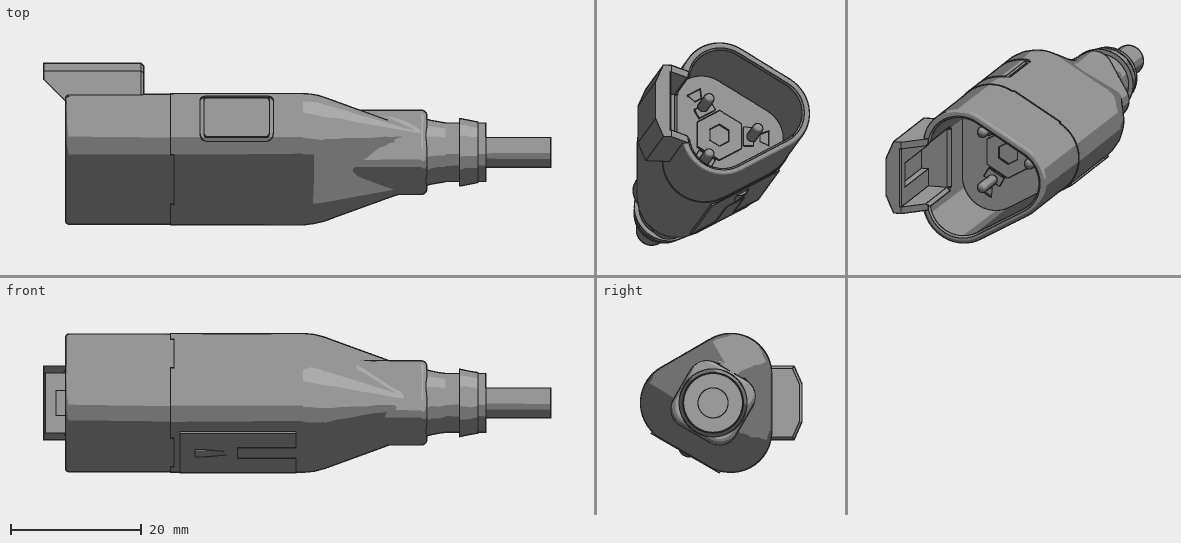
import cadquery as cq
import math


latch_back = 15.3
shell_front = 3.33
grip_start = 19.4
flat_grip_start = 19.9
taper_start = 41.35
taper_end = 57.9
boot_front = 44.0
boot_end = 58.6
flare_start = 57.6
flare_end = 59.2
neck_end = 61.5
barb_start = 63.55
barb_end = 66.4
collar_end = 67.6
cable_end = 77.53

housing_y = 0.2
lobe_distance = 5.05
grip_radius = 6.27
step_height = 0.1
shell_radius = grip_radius - step_height
wall = 1.2
rim_fillet = 0.5
rim_chamfer = 0.3
taper_angle = 20.0
shoulder_radius = 9.3
lobe_angles = (60, 180, 300)
flat_half_width = lobe_distance * math.sin(math.radians(60))
grip_apothem = lobe_distance / 2 + grip_radius
shell_apothem = lobe_distance / 2 + shell_radius
inner_y = housing_y + shell_apothem - wall

floor_x = grip_start
pin_radius = 0.8
pin_length = 6.0
pin_tip_fillet = 0.7
relief = 0.5
hexagon_apothem = 3.4
socket_apothem = 1.5
collar_inner = 3.75
collar_outer = 5.3
collar_half_width = 1.45
mark_inner = 6.4
mark_outer = 7.8
mark_inner_half = 0.6
mark_outer_half = 1.2

latch_top = 13.62
latch_shoulder = 12.4
latch_half_width = 5.65
latch_top_half = 2.9
latch_root = 7.0
latch_chamfer = 0.4
hood_roof = 11.17
hood_half_width = 4.6
hood_end = 13.3
mouth_chamfer = 0.25
hood_sill = 8.2
hood_lead = 0.8
hood_flare_half_width = 5.1
catch_start = 1.9
catch_half_width = 1.9
catch_depth = 1.1

label_start = 23.9
label_end = 35.1
label_half_width = 4.0
label_corner = 1.1
label_depth = 0.3
label_groove_width = 0.6

panel_angle = 240
panel_start = 20.8
panel_end = 38.6
panel_half_width = 6.03
panel_height = 0.1
slot_start = 29.6
slot_half_width = 1.6
arrow_start = 23.15
arrow_shoulder = 24.6
arrow_tip = 29.9
arrow_radius = 1.7
arrow_height = 0.5

boot_apothem = 5.5
boot_corner = 2.87
boot_turn = -30
boot_end_fillet = 0.9
boot_blend_radius = 1.5
flare_radius = 5.35
neck_base_radius = 4.9
neck_radius = 4.5
barb_radius = 5.2
barb_tip_radius = 4.65
cable_radius = 2.3

margin = 1.0
seam_tolerance = 0.001


def lobe_centre(angle):
    """Y, Z of the lobe that lies in the given direction."""
    turn = math.radians(angle)
    return (housing_y + lobe_distance * math.cos(turn), lobe_distance * math.sin(turn))


def triangle_section(x, radius):
    """Rounded-triangle outline in the plane at x."""
    def rim(lobe, direction):
        y, z = lobe_centre(lobe)
        turn = math.radians(direction)
        return (y + radius * math.cos(turn), z + radius * math.sin(turn))

    first = lobe_angles[0]
    outline = cq.Workplane("YZ", origin=(x, 0, 0)).moveTo(*rim(first, first - 60))
    for lobe in lobe_angles:
        outline = outline.threePointArc(rim(lobe, lobe), rim(lobe, lobe + 60))
        outline = outline.lineTo(*rim(lobe + 120, lobe + 60))
    return outline.close()


def turned(body, angle):
    """Turn a body built towards +Y about the housing axis to the given direction."""
    return body.rotate((0, housing_y, 0), (1, housing_y, 0), angle)


def block(x_min, x_max, y_min, y_max, half_width):
    """Box symmetric about Z = 0."""
    return cq.Workplane("XY").box(
        x_max - x_min, y_max - y_min, 2 * half_width, centered=(False, False, True)
    ).translate((x_min, y_min, 0))


def make_housing():
    grip = triangle_section(grip_start, grip_radius).extrude(taper_start - grip_start)
    taper = triangle_section(taper_start, grip_radius).extrude(taper_end - taper_start, taper=taper_angle)
    shoulder = cq.selectors.BoxSelector(
        (taper_start - margin, -latch_top, -latch_top),
        (taper_start + margin, latch_top, latch_top),
        boundingbox=True,
    )
    body = grip.union(taper).edges(shoulder).fillet(shoulder_radius)
    step_bottom = housing_y + shell_apothem
    step_top = housing_y + grip_apothem + margin
    for angle in lobe_angles:
        step = block(grip_start, flat_grip_start, step_bottom, step_top, flat_half_width)
        body = body.cut(turned(step, angle + 60))
    return body


def make_shell():
    shell = triangle_section(shell_front, shell_radius).extrude(grip_start - shell_front)
    return shell.faces("<X").edges().fillet(rim_fillet)


def make_latch():
    side = (
        cq.Workplane("XY", origin=(0, 0, -latch_half_width))
        .moveTo(0, latch_top)
        .lineTo(latch_back, latch_top)
        .lineTo(latch_back, latch_root)
        .lineTo(hood_roof - latch_root, latch_root)
        .lineTo(0, hood_roof)
        .close()
        .extrude(2 * latch_half_width)
    )
    front = (
        cq.Workplane("YZ")
        .polyline([
            (latch_root, -latch_half_width),
            (latch_shoulder, -latch_half_width),
            (latch_top, -latch_top_half),
            (latch_top, latch_top_half),
            (latch_shoulder, latch_half_width),
            (latch_root, latch_half_width),
        ])
        .close()
        .extrude(latch_back)
    )
    return side.intersect(front).faces(">X").edges().chamfer(latch_chamfer)


def make_hood():
    """Hollow of the latch, open to the front and towards the cavity."""
    return (
        cq.Workplane("XY", origin=(0, 0, -hood_half_width))
        .moveTo(-margin, hood_roof)
        .lineTo(hood_end, hood_roof)
        .lineTo(hood_end, hood_sill)
        .lineTo(hood_end + hood_lead, inner_y)
        .lineTo(hood_end + hood_lead, inner_y - margin)
        .lineTo(-margin, inner_y - margin)
        .close()
        .extrude(2 * hood_half_width)
    )


def make_hollow_latch():
    latch = make_latch().cut(make_hood())
    mouth_edge = cq.selectors.NearestToPointSelector((0, hood_roof, 0))
    return latch.edges("|Z").edges(mouth_edge).chamfer(mouth_chamfer)


def cut_cavity(body):
    """Hollow out the shell and the latch."""
    main = triangle_section(0, shell_radius - wall).extrude(floor_x)
    lead_in = triangle_section(shell_front, shell_radius - wall + rim_chamfer).extrude(rim_chamfer, taper=45)
    flare = (
        cq.Workplane("YZ", origin=(-margin, 0, 0))
        .polyline([
            (inner_y - margin, -hood_flare_half_width),
            (inner_y, -hood_flare_half_width),
            (hood_sill, -hood_half_width),
            (hood_sill, hood_half_width),
            (inner_y, hood_flare_half_width),
            (inner_y - margin, hood_flare_half_width),
        ])
        .close()
        .extrude(hood_end + margin)
    )
    catch = block(catch_start, hood_end, hood_roof - margin, hood_roof + catch_depth, catch_half_width)
    for cutter in (main, lead_in, make_hood(), flare, catch):
        body = body.cut(cutter)
    return body


def hexagon(x, apothem, length):
    """Hexagonal prism with a flat facing each lobe and each side of the housing."""
    diameter = 2 * apothem / math.cos(math.radians(30))
    plane = cq.Workplane("YZ", origin=(x, housing_y, 0)).transformed(rotate=(0, 0, 30))
    return plane.polygon(6, diameter).extrude(length)


def make_pin(angle):
    y, z = lobe_centre(angle)
    tip = cq.Workplane("YZ", origin=(floor_x - pin_length, y, z))
    pin = tip.circle(pin_radius).extrude(pin_length + margin)
    return pin.faces("<X").edges().fillet(pin_tip_fillet)


def add_floor_details(body):
    body = body.union(hexagon(floor_x - relief, hexagon_apothem, relief + margin))
    body = body.cut(hexagon(floor_x - relief - margin, socket_apothem, relief + margin))
    collar_bottom = housing_y + collar_inner
    collar_top = housing_y + collar_outer
    for angle in lobe_angles:
        collar = block(floor_x - relief, floor_x + margin, collar_bottom, collar_top, collar_half_width)
        mark = (
            cq.Workplane("YZ", origin=(floor_x - margin, housing_y, 0))
            .polyline([
                (mark_inner, -mark_inner_half),
                (mark_outer, -mark_outer_half),
                (mark_outer, mark_outer_half),
                (mark_inner, mark_inner_half),
            ])
            .close()
            .extrude(margin + relief)
        )
        body = body.union(turned(collar, angle)).union(make_pin(angle)).cut(turned(mark, angle))
    return body


def make_label_groove():
    """Rectangular frame groove whose floor is concentric with the lobe."""
    length = label_end - label_start
    lobe_y = housing_y + lobe_distance

    def window(inset):
        return (
            cq.Workplane("XZ", origin=((label_start + label_end) / 2, lobe_y, 0))
            .rect(length - 2 * inset, 2 * (label_half_width - inset))
            .extrude(-(grip_radius + margin))
            .edges("|Y")
            .fillet(label_corner - inset)
        )

    ring = (
        cq.Workplane("YZ", origin=(label_start, lobe_y, 0))
        .circle(grip_radius + margin)
        .circle(grip_radius - label_depth)
        .extrude(length)
    )
    return turned(ring.intersect(window(0).cut(window(label_groove_width))), lobe_angles[0])


def add_panel(body):
    face = housing_y + grip_apothem
    panel = block(panel_start, panel_end, face - margin, face + panel_height, panel_half_width)
    slot = block(slot_start, panel_end + margin, face, face + panel_height + margin, slot_half_width)
    arrow = (
        cq.Workplane("XY", origin=(0, face + arrow_height - arrow_radius, 0))
        .moveTo(arrow_start, 0)
        .lineTo(arrow_start, arrow_radius)
        .lineTo(arrow_shoulder, arrow_radius)
        .lineTo(arrow_tip, arrow_radius - arrow_height)
        .lineTo(arrow_tip, 0)
        .close()
        .revolve(360, (0, 0, 0), (1, 0, 0))
    )
    return body.union(turned(panel.cut(slot), panel_angle)).union(turned(arrow, panel_angle))


def make_boot():
    boot = (
        cq.Workplane("YZ", origin=(boot_front, 0, 0))
        .rect(2 * boot_apothem, 2 * boot_apothem)
        .extrude(boot_end - boot_front)
        .edges("|X")
        .fillet(boot_corner)
        .faces(">X")
        .edges()
        .fillet(boot_end_fillet)
    )
    return boot.rotate((0, 0, 0), (1, 0, 0), boot_turn)


def make_cable_end():
    return (
        cq.Workplane("XY")
        .moveTo(flare_start, 0)
        .lineTo(flare_start, flare_radius)
        .lineTo(flare_end, neck_base_radius)
        .lineTo(neck_end, neck_radius)
        .lineTo(barb_start, neck_radius)
        .lineTo(barb_start, barb_radius)
        .lineTo(barb_end, barb_tip_radius)
        .lineTo(barb_end, neck_radius)
        .lineTo(collar_end, neck_radius)
        .lineTo(collar_end, cable_radius)
        .lineTo(cable_end, cable_radius)
        .lineTo(cable_end, 0)
        .close()
        .revolve(360, (0, 0, 0), (1, 0, 0))
    )


def blend_seam(first, second, radius):
    """Union of two bodies with the seam between them filleted."""
    joint = first.union(second)
    seam = []
    for edge in joint.edges().vals():
        middle = cq.Vertex.makeVertex(*edge.positionAt(0.5).toTuple())
        gaps = (middle.distance(first.val()), middle.distance(second.val()))
        if max(gaps) < seam_tolerance:
            seam.append(edge)
    return joint.newObject(seam).fillet(radius)


body = blend_seam(make_housing(), make_boot(), boot_blend_radius)
body = body.union(make_shell()).union(make_hollow_latch())
body = cut_cavity(body)
body = body.union(make_cable_end())
body = add_floor_details(body)
result = add_panel(body).cut(make_label_groove())